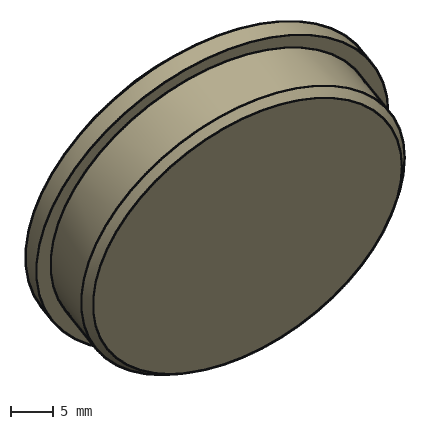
import cadquery as cq

length = 19.0
flange_diameter = 48.3
flange_thickness = 2.5
plug_diameter = 44.4
plug_length = 8.0
chamfer_size = 1.0

dome_height = length - flange_thickness - plug_length
flange_radius = flange_diameter / 2

sphere_radius = (flange_radius**2 + dome_height**2) / (2 * dome_height)


def disc(start_x, diameter, thickness):
    """Solid disc on the X axis, extending toward +X from start_x."""
    return cq.Workplane("YZ", origin=(start_x, 0, 0)).circle(diameter / 2).extrude(thickness)


def dome():
    """Spherical cap with its rim at x = 0 and its crown toward -X."""
    sphere = cq.Workplane("XY", origin=(sphere_radius - dome_height, 0, 0)).sphere(sphere_radius)
    return sphere.intersect(disc(-dome_height, flange_diameter, dome_height))


flange = disc(0, flange_diameter, flange_thickness)
plug = disc(flange_thickness, plug_diameter, plug_length).faces(">X").edges().chamfer(chamfer_size)

result = dome().union(flange).union(plug)